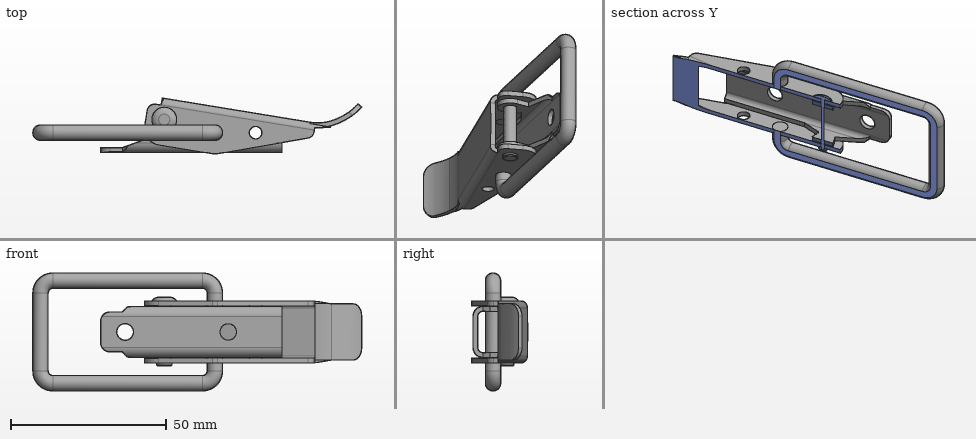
import cadquery as cq
import math


SHEET = 1.6

WIRE_DIAMETER = 5.0
BAIL_REACH = 56.14
BAIL_HALF_WIDTH = 16.51
BAIL_BEND = 4.0

LEVER_TILT = -9.3
LEVER_HALF_WIDTH = 10.0
LEVER_INNER = LEVER_HALF_WIDTH - SHEET
LEVER_BEND = 2.3
BACK_TOP = 8.3
SIDE_TOP = BACK_TOP - LEVER_BEND
SIDE_FRONT = -22.7
SIDE_FRONT_RADIUS = 5.5
SIDE_FRONT_TOP_RADIUS = 2.5
SIDE_REAR = 31.5
SIDE_REAR_RADIUS = 2.4
KEEL_U = 1.2
KEEL_V = -6.83
KEEL_RADIUS = 5.0
REAR_RISE = 19.1
BACK_FRONT = -18.1
BACK_CROWN = 0.5
CROWN_HALF_WIDTH = 7.2
CROWN_BLEND = 4.0
NOTCH_U = -18.6
LOCK_HOLE_DIAMETER = 3.97
LOCK_HOLE_X = 13.1

HANDLE_HALF_WIDTH = 9.1
HANDLE_START = 29.8
HANDLE_ROOT_RADIUS = 16.2
HANDLE_ROOT_SWEEP = 25.3
HANDLE_TIP_RADIUS = 21.0
HANDLE_TIP_SWEEP = 31.55
HANDLE_CORNER = 4.0
TAPER_END = 36.5
TAPER_END_V = 7.65

BASE_BOTTOM = -6.45
BASE_HALF_WIDTH = 8.25
BASE_BEND = 3.2
BASE_FRONT = -36.8
BASE_REAR = 21.64
TONGUE_HALF_WIDTH = 6.45
TONGUE_CORNER = 3.0
SHOULDER_X = -29.8
SHOULDER_Y = -4.8
SHOULDER_SLOPE = 20.0
EAR_RADIUS = 4.1
EAR_FLANK = 14.0
SCREW_HOLE_DIAMETER = 5.28
SCREW_HOLES_X = (-28.9, 4.3)

RIVET_X = -16.3
RIVET_Y = 4.2
SHANK_DIAMETER = 4.2
HEAD_DIAMETER = 8.0
HEAD_FLAT_DIAMETER = 3.58
HEAD_HEIGHT = 1.25
HEAD_MID_RADIUS = 3.2
HEAD_MID_HEIGHT = 0.8
COLLAR_DIAMETER = 5.1
COLLAR_THICKNESS = 0.9
COLLAR_CHAMFER = 0.3


def rod(diameter, x, y, z_low, z_high):
    """Round bar along Z, used for pins and for cutting holes."""
    return cq.Workplane("XY", origin=(x, y, z_low)).circle(diameter / 2).extrude(z_high - z_low)


def through_hole(diameter, x, y):
    return rod(diameter, x, y, -2 * LEVER_HALF_WIDTH, 2 * LEVER_HALF_WIDTH)


def slab(outline, half_width):
    """Extrude an XY outline evenly to both sides of the mid-plane."""
    return outline.extrude(2 * half_width).translate((0, 0, -half_width))


def channel(x_start, x_end, y_closed, y_open, half_width, bend):
    """Bent sheet channel along X; its web is at y_closed and its legs reach to y_open."""
    toward_web = math.copysign(1, y_closed - y_open)

    def solid(inset, radius):
        web = y_closed - toward_web * inset
        half = half_width - inset
        block = cq.Workplane("XY").box(x_end - x_start, abs(web - y_open), 2 * half)
        block = block.edges("|X").edges(">Y" if toward_web > 0 else "<Y").fillet(radius)
        return block.translate(((x_start + x_end) / 2, (web + y_open) / 2, 0))

    return solid(0, bend).cut(solid(SHEET, bend - SHEET))


def make_bail():
    leg_x = -BAIL_REACH
    half = BAIL_HALF_WIDTH
    path = (
        cq.Workplane("XZ")
        .moveTo(0, LEVER_INNER)
        .lineTo(0, half - BAIL_BEND)
        .radiusArc((-BAIL_BEND, half), -BAIL_BEND)
        .lineTo(leg_x + BAIL_BEND, half)
        .radiusArc((leg_x, half - BAIL_BEND), -BAIL_BEND)
        .lineTo(leg_x, BAIL_BEND - half)
        .radiusArc((leg_x + BAIL_BEND, -half), -BAIL_BEND)
        .lineTo(-BAIL_BEND, -half)
        .radiusArc((0, BAIL_BEND - half), -BAIL_BEND)
        .lineTo(0, -LEVER_INNER)
    )
    return cq.Workplane("XY", origin=(0, 0, LEVER_INNER)).circle(WIRE_DIAMETER / 2).sweep(path)


def lever_side_outline():
    """Outline of the sides and the back, with the front notch above the sides."""
    rear_v = KEEL_V + (SIDE_REAR - KEEL_U) * math.tan(math.radians(REAR_RISE))
    outline = slab(
        cq.Workplane("XY").polyline(
            [
                (NOTCH_U, BACK_TOP),
                (NOTCH_U, SIDE_TOP),
                (SIDE_FRONT, SIDE_TOP),
                (SIDE_FRONT, KEEL_V),
                (KEEL_U, KEEL_V),
                (SIDE_REAR, rear_v),
                (SIDE_REAR, BACK_TOP),
            ]
        ).close(),
        LEVER_HALF_WIDTH,
    )
    corners = (
        ((SIDE_FRONT, SIDE_TOP), SIDE_FRONT_TOP_RADIUS),
        ((SIDE_FRONT, KEEL_V), SIDE_FRONT_RADIUS),
        ((KEEL_U, KEEL_V), KEEL_RADIUS),
        ((SIDE_REAR, rear_v), SIDE_REAR_RADIUS),
    )
    for (u, v), radius in corners:
        outline = outline.edges(cq.selectors.NearestToPointSelector((u, v, 0))).fillet(radius)
    return outline


def lever_front_cut():
    """Shapes the front end of the back: a crown that blends down into the sides."""
    height = BACK_TOP - SIDE_TOP
    return (
        cq.Workplane("XZ", origin=(0, BACK_TOP, 0))
        .moveTo(SIDE_FRONT, LEVER_HALF_WIDTH)
        .lineTo(NOTCH_U, LEVER_HALF_WIDTH)
        .radiusArc((BACK_FRONT, CROWN_HALF_WIDTH), CROWN_BLEND)
        .threePointArc((BACK_FRONT - BACK_CROWN, 0), (BACK_FRONT, -CROWN_HALF_WIDTH))
        .radiusArc((NOTCH_U, -LEVER_HALF_WIDTH), CROWN_BLEND)
        .lineTo(SIDE_FRONT, -LEVER_HALF_WIDTH)
        .close()
        .extrude(height)
    )


def make_handle():
    """Tongue that continues the back and curls away from the base in two tangent arcs."""
    root_sweep = math.radians(HANDLE_ROOT_SWEEP)
    full_sweep = math.radians(HANDLE_ROOT_SWEEP + HANDLE_TIP_SWEEP)
    root_centre = (HANDLE_START, BACK_TOP - SHEET + HANDLE_ROOT_RADIUS)
    offset = HANDLE_TIP_RADIUS - HANDLE_ROOT_RADIUS
    tip_centre = (
        root_centre[0] - offset * math.sin(root_sweep),
        root_centre[1] + offset * math.cos(root_sweep),
    )

    def on_root(angle, inset):
        radius = HANDLE_ROOT_RADIUS - inset
        return root_centre[0] + radius * math.sin(angle), root_centre[1] - radius * math.cos(angle)

    def on_tip(angle, inset):
        radius = HANDLE_TIP_RADIUS - inset
        return tip_centre[0] + radius * math.sin(angle), tip_centre[1] - radius * math.cos(angle)

    tip_middle = (root_sweep + full_sweep) / 2
    handle = slab(
        cq.Workplane("XY")
        .moveTo(*on_root(0, 0))
        .threePointArc(on_root(root_sweep / 2, 0), on_root(root_sweep, 0))
        .threePointArc(on_tip(tip_middle, 0), on_tip(full_sweep, 0))
        .lineTo(*on_tip(full_sweep, SHEET))
        .threePointArc(on_tip(tip_middle, SHEET), on_tip(root_sweep, SHEET))
        .threePointArc(on_root(root_sweep / 2, SHEET), on_root(0, SHEET))
        .close(),
        HANDLE_HALF_WIDTH,
    )
    across_tip = cq.Vector(-math.sin(full_sweep), math.cos(full_sweep), 0)
    return handle.edges(cq.selectors.ParallelDirSelector(across_tip)).fillet(HANDLE_CORNER)


def make_tapers():
    """Ends of the two bends, running out in a taper beside the root of the handle."""
    stock = channel(SIDE_REAR, TAPER_END, BACK_TOP, KEEL_V, LEVER_HALF_WIDTH, LEVER_BEND)
    profile = slab(
        cq.Workplane("XY").polyline(
            [
                (SIDE_REAR, BACK_TOP),
                (SIDE_REAR, BACK_TOP - SHEET),
                (TAPER_END, TAPER_END_V),
                (TAPER_END, BACK_TOP),
            ]
        ).close(),
        LEVER_HALF_WIDTH,
    )
    stock = stock.intersect(profile)
    tapers = []
    for side in (1, -1):
        wedge = (
            cq.Workplane("XZ", origin=(0, BACK_TOP, 0))
            .moveTo(SIDE_REAR, side * HANDLE_HALF_WIDTH)
            .lineTo(SIDE_REAR, side * LEVER_HALF_WIDTH)
            .lineTo(TAPER_END, side * HANDLE_HALF_WIDTH)
            .close()
            .extrude(LEVER_BEND)
        )
        tapers.append(stock.intersect(wedge))
    return tapers


def make_lever():
    lever = channel(SIDE_FRONT, SIDE_REAR, BACK_TOP, KEEL_V, LEVER_HALF_WIDTH, LEVER_BEND)
    lever = lever.intersect(lever_side_outline())
    lever = lever.cut(lever_front_cut())
    lever = lever.union(make_handle())
    for taper in make_tapers():
        lever = lever.union(taper)
    lever = lever.rotate((0, 0, 0), (0, 0, 1), LEVER_TILT)
    lever = lever.cut(through_hole(WIRE_DIAMETER, 0, 0))
    lever = lever.cut(through_hole(LOCK_HOLE_DIAMETER, LOCK_HOLE_X, 0))
    return lever.cut(through_hole(SHANK_DIAMETER, RIVET_X, RIVET_Y))


def base_side_outline():
    """Side profile of the base: flat tongue, rising shoulder, round ear, low rear flange."""
    flange_top = BASE_BOTTOM + BASE_BEND
    slope = math.tan(math.radians(SHOULDER_SLOPE))
    flank = math.radians(EAR_FLANK)
    tangent_x = EAR_RADIUS * math.cos(flank)
    tangent_y = RIVET_Y - EAR_RADIUS * math.sin(flank)
    start_x = RIVET_X - tangent_x
    lean = math.tan(flank)
    foot_y = (SHOULDER_Y + slope * (start_x + lean * tangent_y - SHOULDER_X)) / (1 + slope * lean)
    foot_x = start_x + lean * (tangent_y - foot_y)
    rear_foot_x = 2 * RIVET_X - foot_x
    return slab(
        cq.Workplane("XY")
        .moveTo(BASE_FRONT, BASE_BOTTOM)
        .lineTo(BASE_FRONT, SHOULDER_Y)
        .lineTo(SHOULDER_X, SHOULDER_Y)
        .lineTo(foot_x, foot_y)
        .lineTo(start_x, tangent_y)
        .threePointArc((RIVET_X, RIVET_Y + EAR_RADIUS), (RIVET_X + tangent_x, tangent_y))
        .lineTo(rear_foot_x, foot_y)
        .lineTo(rear_foot_x + (foot_y - flange_top) / slope, flange_top)
        .lineTo(BASE_REAR, flange_top)
        .lineTo(BASE_REAR, BASE_BOTTOM)
        .close(),
        BASE_HALF_WIDTH,
    )


def base_plan_outline():
    """Plan of the base: a narrow tongue with rounded corners, widening at 45 degrees to full width."""
    reach = RIVET_Y + EAR_RADIUS - BASE_BOTTOM
    plane = cq.Workplane("XZ", origin=(0, RIVET_Y + EAR_RADIUS, 0))
    length = BASE_REAR - BASE_FRONT
    tongue = plane.center(BASE_FRONT + length / 2, 0).rect(length, 2 * TONGUE_HALF_WIDTH).extrude(reach)
    tongue = tongue.edges("|Y and <X").fillet(TONGUE_CORNER)
    body_length = BASE_REAR - SHOULDER_X
    body = plane.center(SHOULDER_X + body_length / 2, 0).rect(body_length, 2 * BASE_HALF_WIDTH)
    body = body.extrude(reach).edges("|Y and <X").chamfer(BASE_HALF_WIDTH - TONGUE_HALF_WIDTH)
    return tongue.union(body)


def make_base():
    top = RIVET_Y + EAR_RADIUS
    base = channel(BASE_FRONT, BASE_REAR, BASE_BOTTOM, top, BASE_HALF_WIDTH, BASE_BEND)
    base = base.intersect(base_side_outline()).intersect(base_plan_outline())
    for x in SCREW_HOLES_X:
        screw_hole = cq.Workplane("XZ", origin=(x, BASE_BOTTOM + SHEET, 0))
        base = base.cut(screw_hole.circle(SCREW_HOLE_DIAMETER / 2).extrude(SHEET))
    return base.cut(through_hole(SHANK_DIAMETER, RIVET_X, RIVET_Y))


def make_rivet():
    shank_end = -LEVER_HALF_WIDTH - COLLAR_THICKNESS
    shank = rod(SHANK_DIAMETER, RIVET_X, RIVET_Y, shank_end, LEVER_HALF_WIDTH)
    base_radius = HEAD_DIAMETER / 2
    flat_radius = HEAD_FLAT_DIAMETER / 2
    head = (
        cq.Workplane("XZ", origin=(RIVET_X, RIVET_Y, LEVER_HALF_WIDTH))
        .lineTo(base_radius, 0)
        .threePointArc((HEAD_MID_RADIUS, HEAD_MID_HEIGHT), (flat_radius, HEAD_HEIGHT))
        .lineTo(0, HEAD_HEIGHT)
        .close()
        .revolve(360, (0, 0, 0), (0, 1, 0))
    )
    return shank.union(head)


def make_collar():
    low = -LEVER_HALF_WIDTH - COLLAR_THICKNESS
    collar = rod(COLLAR_DIAMETER, RIVET_X, RIVET_Y, low, -LEVER_HALF_WIDTH)
    collar = collar.faces("<Z").chamfer(COLLAR_CHAMFER)
    return collar.cut(through_hole(SHANK_DIAMETER, RIVET_X, RIVET_Y))


bail = make_bail()
lever = make_lever()
base = make_base()
rivet = make_rivet()
collar = make_collar()

result = cq.Compound.makeCompound(
    [bail.val(), lever.val(), base.val(), rivet.val(), collar.val()]
)